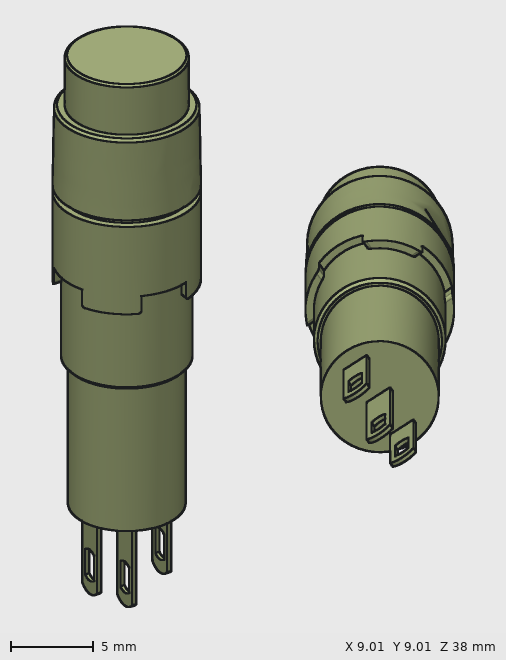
import cadquery as cq
import math

button_top = 38.0
bezel_top = 34.58
bezel_bottom = 29.07
ring_top = 28.6
notch_top = 23.8
ring_bottom = 22.57
barrel_bottom = 17.02
rear_bottom = 7.05

button_radius = 3.75
bezel_top_radius = 4.4
ring_radius = 4.503
barrel_radius = 4.0
rear_radius = 3.57

button_chamfer = 0.15
bezel_chamfer = 0.2
barrel_chamfer = 0.23
bezel_bulge = 0.005
notch_width = 3.2
notch_count = 4
tab_corner_radius = 0.23

recess_bottom = bezel_bottom

terminal_width = 1.7
terminal_thickness = 0.3
terminal_pitch = 2.5
terminal_tip_rise = 0.4
outer_terminal_tip = 1.55
slot_width = 1.0
slot_length = 2.13
slot_end_rise = 0.2
slot_above_tip = 0.9


def disc(radius, bottom, top):
    """Upright cylinder about the Z axis."""
    return cq.Workplane("XY").workplane(offset=bottom).circle(radius).extrude(top - bottom)


def plate(width, bottom, top, bottom_rise, top_rise):
    """Flat plate across X with bowed ends, centred on Y = 0."""
    half = width / 2
    outline = (
        cq.Workplane("XZ")
        .moveTo(-half, bottom + bottom_rise)
        .threePointArc((0, bottom), (half, bottom + bottom_rise))
        .lineTo(half, top - top_rise)
    )
    if top_rise > 0:
        outline = outline.threePointArc((0, top), (-half, top - top_rise))
    else:
        outline = outline.lineTo(-half, top)
    return outline.close().extrude(terminal_thickness / 2, both=True)


def make_terminal(y, tip):
    """Solder terminal with a rounded tip and an eyelet slot."""
    blade = plate(terminal_width, tip, rear_bottom, terminal_tip_rise, 0)
    slot_bottom = tip + slot_above_tip
    slot = plate(slot_width, slot_bottom, slot_bottom + slot_length, slot_end_rise, slot_end_rise)
    return blade.cut(slot).translate((0, y, 0))


def make_bezel():
    """Bezel whose side swells gently from the chamfered top to the bottom."""
    shoulder = bezel_top - bezel_chamfer
    middle_radius = (bezel_top_radius + ring_radius) / 2 + bezel_bulge
    return (
        cq.Workplane("XZ")
        .moveTo(0, bezel_bottom)
        .lineTo(ring_radius, bezel_bottom)
        .threePointArc((middle_radius, (bezel_bottom + shoulder) / 2), (bezel_top_radius, shoulder))
        .lineTo(bezel_top_radius - bezel_chamfer, bezel_top)
        .lineTo(0, bezel_top)
        .close()
        .revolve(360, (0, 0, 0), (0, 1, 0))
    )


def make_housing():
    """Bezel, barrel, rear section and the three terminals in one solid."""
    barrel = disc(barrel_radius, barrel_bottom, bezel_bottom).faces("<Z").chamfer(barrel_chamfer)
    housing = make_bezel().union(barrel).union(disc(rear_radius, rear_bottom, barrel_bottom))
    housing = housing.cut(disc(button_radius, recess_bottom, bezel_top))
    for side in (-1, 0, 1):
        tip = outer_terminal_tip if side else 0
        housing = housing.union(make_terminal(side * terminal_pitch, tip))
    return housing


def make_button():
    """Push button with a chamfered top edge."""
    return disc(button_radius, recess_bottom, button_top).faces(">Z").chamfer(button_chamfer)


def make_ring():
    """Lock ring around the barrel; notches split its lower edge into tabs."""
    ring = disc(ring_radius, ring_bottom, ring_top).cut(disc(barrel_radius, ring_bottom, ring_top))
    half = notch_width / 2
    flare = half + tab_corner_radius
    corner_top = ring_bottom + tab_corner_radius
    arc_inset = tab_corner_radius * (1 - math.sqrt(0.5))
    notch = (
        cq.Workplane("XZ")
        .moveTo(-flare, ring_bottom)
        .threePointArc((-half - arc_inset, ring_bottom + arc_inset), (-half, corner_top))
        .lineTo(-half, notch_top)
        .lineTo(half, notch_top)
        .lineTo(half, corner_top)
        .threePointArc((half + arc_inset, ring_bottom + arc_inset), (flare, ring_bottom))
        .close()
        .extrude(ring_radius)
    )
    for index in range(notch_count):
        ring = ring.cut(notch.rotate((0, 0, 0), (0, 0, 1), index * 360 / notch_count))
    return ring


housing = make_housing()
button = make_button()
ring = make_ring()

result = cq.Compound.makeCompound([*housing.solids().vals(), *button.solids().vals(), *ring.solids().vals()])